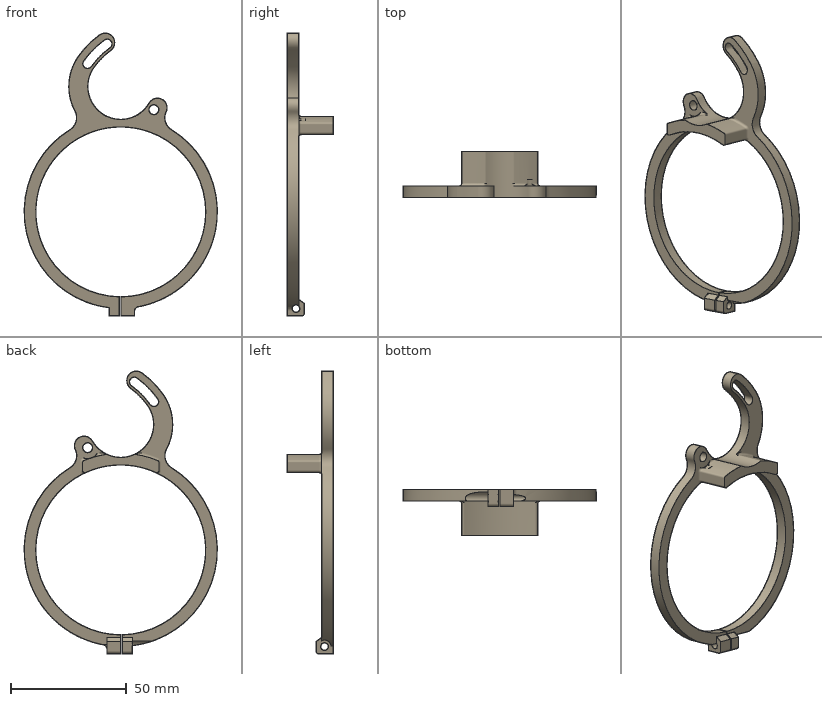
import cadquery as cq
import math

RING_OUTER_R = 41.81
RING_INNER_R = 36.7
PLATE_T = 5.0

HOOK_Z = 54.2
HOOK_INNER_R = 14.2
HOOK_OUTER_R = 22.5
HOOK_MID_R = (HOOK_INNER_R + HOOK_OUTER_R) / 2
CAP_R = (HOOK_OUTER_R - HOOK_INNER_R) / 2
NECK_FILLET_R = 6.1
LUG_ANGLE = -30.0

PIVOT_X = 14.3
PIVOT_Z = 44.2
PIVOT_D = 4.2
SLOT_W = 4.0
SLOT_R = 34.9
SLOT_START, SLOT_END = 125.3, 145.2
ARM_END = 126.0
HEAD_CLEARANCE_R = 4.8
HEAD_CLEARANCE_DEPTH = 2.8

BLOCK_END_Y = 20.0
BLOCK_HALF_W = 16.5
BLOCK_CORNER_R = 1.0
GROOVE_EDGE_R = 1.0
BLOCK_FOOT_R = 1.1

LUG_LEFT = -5.0
LUG_RIGHT = 6.0
LUG_BOTTOM = -45.0
LUG_DEPTH = 7.5
LUG_TOP = -37.8
LUG_BEVEL = 1.8
LUG_CORNER_R = 1.2
LUG_FILLET_R = 2.0
SPLIT_W = 0.6
SPLIT_X = -0.2
SCREW_D = 3.2
SCREW_Y = 3.8
SCREW_Z = -41.9
SPOTFACE_R = 2.8
SCREW_REACH = 14.7


def polar(radius, degrees, x=0, z=0):
    angle = math.radians(degrees)
    return (x + radius * math.cos(angle), z + radius * math.sin(angle))


def front(y=0):
    """XZ sketch plane at the given Y; extrusion by a negative length goes to +Y."""
    return cq.Workplane("XZ", origin=(0, y, 0))


def disc(radius, x=0, z=0, y=0, depth=PLATE_T):
    return front(y).center(x, z).circle(radius).extrude(-depth)


def neck_points(centre_x, centre_z, radius):
    """Fillet between the ring and a circle on its +X side: ring, middle and circle points."""
    ring_reach = RING_OUTER_R + NECK_FILLET_R
    circle_reach = radius + NECK_FILLET_R
    spacing = math.hypot(centre_x, centre_z)
    along = (ring_reach**2 - circle_reach**2 + spacing**2) / (2 * spacing)
    direction = math.atan2(centre_z, centre_x) - math.acos(along / ring_reach)
    x = ring_reach * math.cos(direction)
    z = ring_reach * math.sin(direction)
    to_ring = math.degrees(math.atan2(-z, -x)) % 360
    to_circle = math.degrees(math.atan2(centre_z - z, centre_x - x)) % 360
    angles = (to_ring, (to_ring + to_circle) / 2, to_circle)
    return [polar(NECK_FILLET_R, angle, x, z) for angle in angles]


def on_hook(radius, degrees):
    return polar(radius, degrees, 0, HOOK_Z)


def on_arm(radius, degrees):
    return polar(radius, degrees, PIVOT_X, PIVOT_Z)


def plate():
    """Ring and hook in one outline; the long arm's arcs are centred on the pivot."""
    pivot_offset = math.hypot(PIVOT_X, HOOK_Z - PIVOT_Z)
    arm_join = math.degrees(math.atan2(HOOK_Z - PIVOT_Z, -PIVOT_X))
    arm_mid = (ARM_END + arm_join) / 2
    arm_inner_r = pivot_offset + HOOK_INNER_R
    arm_outer_r = pivot_offset + HOOK_OUTER_R

    lug_x, lug_z = on_hook(HOOK_MID_R, LUG_ANGLE)
    tip_x, tip_z = on_arm(pivot_offset + HOOK_MID_R, ARM_END)
    right_ring, right_mid, right_lug = neck_points(lug_x, lug_z, CAP_R)
    left_ring, left_mid, left_hook = [(-x, z) for x, z in neck_points(0, HOOK_Z, HOOK_OUTER_R)]
    inner_mid = (arm_join + 360 + LUG_ANGLE) / 2

    outline = (
        front()
        .moveTo(*right_ring)
        .threePointArc(right_mid, right_lug)
        .threePointArc(polar(CAP_R, LUG_ANGLE + 90, lug_x, lug_z), on_hook(HOOK_INNER_R, LUG_ANGLE))
        .threePointArc(on_hook(HOOK_INNER_R, inner_mid), on_hook(HOOK_INNER_R, arm_join))
        .threePointArc(on_arm(arm_inner_r, arm_mid), on_arm(arm_inner_r, ARM_END))
        .threePointArc(polar(CAP_R, ARM_END - 90, tip_x, tip_z), on_arm(arm_outer_r, ARM_END))
        .threePointArc(on_arm(arm_outer_r, arm_mid), on_hook(HOOK_OUTER_R, arm_join))
        .threePointArc(on_hook(HOOK_OUTER_R, 180), left_hook)
        .threePointArc(left_mid, left_ring)
        .threePointArc((0, -RING_OUTER_R), right_ring)
        .close()
    )
    return outline.extrude(-PLATE_T).cut(disc(RING_INNER_R))


def slot():
    half = SLOT_W / 2
    outer_r = SLOT_R + half
    inner_r = SLOT_R - half
    middle = (SLOT_START + SLOT_END) / 2
    start = on_arm(SLOT_R, SLOT_START)
    end = on_arm(SLOT_R, SLOT_END)
    return (
        front()
        .moveTo(*on_arm(outer_r, SLOT_START))
        .threePointArc(on_arm(outer_r, middle), on_arm(outer_r, SLOT_END))
        .threePointArc(polar(half, SLOT_END + 90, *end), on_arm(inner_r, SLOT_END))
        .threePointArc(on_arm(inner_r, middle), on_arm(inner_r, SLOT_START))
        .threePointArc(polar(half, SLOT_START - 90, *start), on_arm(outer_r, SLOT_START))
        .close()
        .extrude(-PLATE_T)
    )


def block():
    """Ring segment with upright ends and a filleted foot, grooved by the hook's bore."""
    bottom = math.sqrt(RING_INNER_R**2 - BLOCK_HALF_W**2)
    top = math.sqrt(RING_OUTER_R**2 - BLOCK_HALF_W**2)
    segment = (
        front(PLATE_T)
        .moveTo(-BLOCK_HALF_W, bottom)
        .lineTo(-BLOCK_HALF_W, top)
        .threePointArc((0, RING_OUTER_R), (BLOCK_HALF_W, top))
        .lineTo(BLOCK_HALF_W, bottom)
        .threePointArc((0, RING_INNER_R), (-BLOCK_HALF_W, bottom))
        .close()
        .extrude(PLATE_T - BLOCK_END_Y)
        .edges("|Y")
        .fillet(BLOCK_CORNER_R)
    )

    slab_w = 3 * BLOCK_HALF_W
    slab = front().center(0, RING_INNER_R).rect(slab_w, slab_w).extrude(-PLATE_T)
    foot_zone = cq.selectors.BoxSelector(
        (-BLOCK_HALF_W - 1.2, PLATE_T / 2, bottom - 1.2),
        (BLOCK_HALF_W + 1.2, PLATE_T * 1.5, RING_OUTER_R + 1.2),
    )
    footed = segment.union(slab).edges(foot_zone).fillet(BLOCK_FOOT_R).cut(slab)

    flush = footed.cut(disc(RING_INNER_R, 0, 0, PLATE_T, BLOCK_END_Y))
    grooved = flush.cut(disc(HOOK_INNER_R, 0, HOOK_Z, PLATE_T, BLOCK_END_Y))
    groove_zone = cq.selectors.BoxSelector(
        (-BLOCK_HALF_W / 2, PLATE_T, RING_INNER_R),
        (BLOCK_HALF_W / 2, BLOCK_END_Y, RING_OUTER_R),
    )
    return grooved.edges("|Y").edges(groove_zone).fillet(GROOVE_EDGE_R)


def lugs():
    profile = [
        (0, LUG_BOTTOM),
        (LUG_DEPTH, LUG_BOTTOM),
        (LUG_DEPTH, LUG_TOP - LUG_BEVEL),
        (PLATE_T, LUG_TOP),
        (0, LUG_TOP),
    ]
    blank = (
        cq.Workplane("YZ", origin=(LUG_LEFT, 0, 0))
        .polyline(profile)
        .close()
        .extrude(LUG_RIGHT - LUG_LEFT)
    )
    return blank.edges("|X and >Y and <Z").fillet(LUG_CORNER_R)


def lug_fillet():
    """Web between the right lug's side and the outside of the ring."""
    centre_x = LUG_RIGHT + LUG_FILLET_R
    centre_z = -math.sqrt((RING_OUTER_R + LUG_FILLET_R) ** 2 - centre_x**2)
    shrink = RING_OUTER_R / (RING_OUTER_R + LUG_FILLET_R)
    web_points = [
        (LUG_RIGHT, centre_z),
        (centre_x, centre_z),
        (centre_x * shrink, centre_z * shrink),
        (LUG_RIGHT, LUG_TOP),
    ]
    web = front().polyline(web_points).close().extrude(-PLATE_T)
    return web.cut(disc(LUG_FILLET_R, centre_x, centre_z))


def along_x(radius, start, length):
    return cq.Workplane("YZ", origin=(start, SCREW_Y, SCREW_Z)).circle(radius).extrude(length)


body = plate().union(block())

body = body.cut(along_x(SPOTFACE_R, LUG_LEFT, -SCREW_REACH))
body = body.union(lugs()).union(lug_fillet())

body = body.cut(disc(PIVOT_D / 2, PIVOT_X, PIVOT_Z))
body = body.cut(disc(HEAD_CLEARANCE_R, PIVOT_X, PIVOT_Z, PLATE_T, HEAD_CLEARANCE_DEPTH))
body = body.cut(slot())

body = body.cut(along_x(SCREW_D / 2, -SCREW_REACH, 2 * SCREW_REACH))
split = cq.Workplane("XY").box(SPLIT_W, LUG_DEPTH, -LUG_BOTTOM, centered=(True, False, False))
body = body.cut(split.translate((SPLIT_X, 0, LUG_BOTTOM)))

result = body